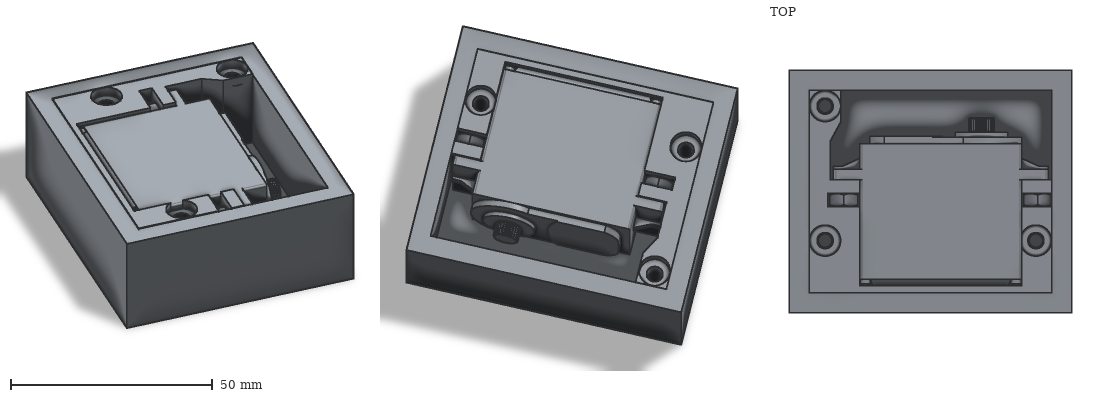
import cadquery as cq
import math

LENGTH = 70.1
WIDTH = 60.2
HOUSING_HEIGHT = 25.5
WALL = 5.0
FLOOR = 5.0
POCKET_HALF_X = LENGTH / 2 - WALL
POCKET_HALF_Y = WIDTH / 2 - WALL

SERVO_X = 2.5
CASE_LENGTH_X = 40.25
CASE_THICKNESS = 20.0
CASE_FRONT_Y = -23.4
CASE_BACK_Y = 11.8
CASE_ROUNDING = 0.55
CASE_HALF_X = CASE_LENGTH_X / 2
CASE_Y_SIZE = CASE_BACK_Y - CASE_FRONT_Y
SERVO_Z = FLOOR + CASE_THICKNESS / 2
CASE_TOP_Z = FLOOR + CASE_THICKNESS

END_SLOPE_LENGTH = 1.6
END_SLOPE_ANGLE = 30.0
END_SLOPE_DROP = END_SLOPE_LENGTH * math.tan(math.radians(END_SLOPE_ANGLE))

EAR_LENGTH_X = 53.3
EAR_THICKNESS = 2.5
EAR_FRONT_Y = 2.95
EAR_BACK_Y = EAR_FRONT_Y + EAR_THICKNESS

RIB_THICKNESS = 1.95
RIB_BACK_Y = EAR_BACK_Y + 0.8
RIB_ROOT_Y = 8.2
RIB_KNEE_X = 24.4

COVER_DISC_RADIUS = CASE_THICKNESS / 2
SHAFT_X = SERVO_X + CASE_HALF_X - COVER_DISC_RADIUS
COVER_DISC_HEIGHT = 1.7
COVER_PLATE_HEIGHT = 1.95
COVER_HALF_Z = 8.9
COVER_LEFT_X = -15.1
COVER_LEFT_RADIUS = 5.6
COVER_LEFT_CORNER_X = -11.5
COVER_RIGHT_X = 2.95
COVER_RIGHT_CORNER_X = 0.55
COLLAR_DIAMETER = 13.0
COLLAR_HEIGHT = 1.2
SPLINE_DIAMETER = 6.3
SPLINE_TOOTH_DEPTH = 0.3
SPLINE_TEETH = 25
SPLINE_LENGTH = 3.6
SPLINE_CHAMFER = 0.3
COLLAR_END_Y = CASE_BACK_Y + COVER_DISC_HEIGHT + COLLAR_HEIGHT

SCREW_HEAD_DIAMETER = 2.6
SCREW_RECESS_DIAMETER = 3.65
SCREW_INSET = 1.4
SCREW_CHAMFER = 0.55
SCREW_Z = CASE_TOP_Z - SCREW_INSET

MOUNT_TOP_Z = 25.7
BORE_X = 26.15
BORE_FRONT_Y = -12.2
BORE_BACK_Y = 21.2
COUNTERBORE_DIAMETER = 7.7
COUNTERBORE_DEPTH = 2.5
BORE_DIAMETER = 4.0
PILOT_DIAMETER = 3.35
PILOT_DEPTH = 2.8
PILOT_COUNTERSINK_ANGLE = 90.0
ARM_X = -22.2
ARM_NECK_X = -24.8
ARM_WIDE_Y = 17.3
ARM_NECK_Y = 12.55

NUT_SIDES = 6
NUT_SPACING = 48.1
NUT_RISE = 5.0
NUT_ACROSS_FLATS = 6.9
NUT_THICKNESS = 3.15
NUT_CHAMFER = 0.35
NUT_Y = -2.1
NUT_SLOT_LENGTH = 7.85
NUT_SLOT_WIDTH = 3.35
NUT_Z = SERVO_Z + NUT_RISE
NUT_CORNER_RADIUS = NUT_ACROSS_FLATS / 2 / math.cos(math.pi / NUT_SIDES)
NUT_BOTTOM_Z = NUT_Z - NUT_CORNER_RADIUS

SIDES = (-1, 1)
BORE_POINTS = [(-BORE_X, BORE_FRONT_Y), (BORE_X, BORE_FRONT_Y), (-BORE_X, BORE_BACK_Y)]


def block(x0, x1, y0, y1, z0, z1):
    """Box between two opposite corners."""
    return cq.Workplane("XY").box(x1 - x0, y1 - y0, z1 - z0, centered=False).translate((x0, y0, z0))


def facing_back(x, y, z):
    """Workplane across the Y axis whose extrusions run toward +Y; its local Y points to -Z."""
    return cq.Workplane(cq.Plane(origin=(x, y, z), xDir=(1, 0, 0), normal=(0, 1, 0)))


def make_housing():
    body = block(-LENGTH / 2, LENGTH / 2, -WIDTH / 2, WIDTH / 2, 0, HOUSING_HEIGHT)
    pocket = block(-POCKET_HALF_X, POCKET_HALF_X, -POCKET_HALF_Y, POCKET_HALF_Y, FLOOR, HOUSING_HEIGHT)
    return (
        body.cut(pocket)
        .copyWorkplane(cq.Workplane("XY", origin=(0, 0, FLOOR)))
        .pushPoints(BORE_POINTS)
        .cskHole(PILOT_DIAMETER, BORE_DIAMETER, PILOT_COUNTERSINK_ANGLE, PILOT_DEPTH)
    )


def make_mount():
    case_left = SERVO_X - CASE_HALF_X
    case_right = SERVO_X + CASE_HALF_X
    outline = [
        (-POCKET_HALF_X, -POCKET_HALF_Y),
        (POCKET_HALF_X, -POCKET_HALF_Y),
        (POCKET_HALF_X, EAR_FRONT_Y),
        (case_right, EAR_FRONT_Y),
        (case_right, CASE_FRONT_Y),
        (case_left, CASE_FRONT_Y),
        (case_left, EAR_FRONT_Y),
        (ARM_NECK_X, EAR_FRONT_Y),
        (ARM_NECK_X, ARM_NECK_Y),
        (ARM_X, ARM_WIDE_Y),
        (ARM_X, POCKET_HALF_Y),
        (-POCKET_HALF_X, POCKET_HALF_Y),
    ]
    base = cq.Workplane("XY", origin=(0, 0, FLOOR)).polyline(outline).close()
    mount = base.extrude(MOUNT_TOP_Z - FLOOR)
    mount = (
        mount.copyWorkplane(cq.Workplane("XY", origin=(0, 0, MOUNT_TOP_Z)))
        .pushPoints(BORE_POINTS)
        .cboreHole(BORE_DIAMETER, COUNTERBORE_DIAMETER, COUNTERBORE_DEPTH)
    )
    for side in SIDES:
        mount = mount.cut(make_nut_slot(side))
    return mount


def nut_x(side):
    return SERVO_X + side * NUT_SPACING / 2


def make_nut_slot(side):
    """Slot open to the top and to the servo, with its floor under the nut."""
    half_length = NUT_SLOT_LENGTH / 2
    half_width = NUT_SLOT_WIDTH / 2
    return block(
        nut_x(side) - half_length, nut_x(side) + half_length,
        NUT_Y - half_width, NUT_Y + half_width,
        NUT_BOTTOM_Z, MOUNT_TOP_Z,
    )


def make_nut(side):
    """Hexagonal nut along Y with one corner pointing up and the corners chamfered at both ends."""
    corners = []
    for i in range(NUT_SIDES):
        angle = 2 * math.pi * i / NUT_SIDES
        corners.append((NUT_CORNER_RADIUS * math.sin(angle), NUT_CORNER_RADIUS * math.cos(angle)))
    start = facing_back(nut_x(side), NUT_Y - NUT_THICKNESS / 2, NUT_Z)
    prism = start.polyline(corners).close().extrude(NUT_THICKNESS)
    face_radius = NUT_ACROSS_FLATS / 2
    half_thickness = NUT_THICKNESS / 2
    blank_profile = [
        (0, -half_thickness),
        (face_radius, -half_thickness),
        (NUT_CORNER_RADIUS, -half_thickness + NUT_CHAMFER),
        (NUT_CORNER_RADIUS, half_thickness - NUT_CHAMFER),
        (face_radius, half_thickness),
        (0, half_thickness),
    ]
    blank = cq.Workplane("XY", origin=(nut_x(side), NUT_Y, NUT_Z)).polyline(blank_profile).close()
    blank = blank.revolve(360, (0, 0, 0), (0, 1, 0))
    return prism.intersect(blank)


def screw_x(side):
    return SERVO_X + side * (CASE_HALF_X - SCREW_INSET)


def make_screw(side):
    """Round case screw head, chamfered and flush with the end of the case."""
    start = facing_back(screw_x(side), CASE_FRONT_Y, SCREW_Z)
    return start.circle(SCREW_HEAD_DIAMETER / 2).extrude(END_SLOPE_LENGTH).faces("<Y").chamfer(SCREW_CHAMFER)


def make_case_body():
    """Block with rounded long edges, sloped at the screw end above and below."""
    body = facing_back(SERVO_X, CASE_FRONT_Y, SERVO_Z).rect(CASE_LENGTH_X, CASE_THICKNESS)
    body = body.extrude(CASE_Y_SIZE).edges("|Y").fillet(CASE_ROUNDING)
    slope = (
        cq.Workplane("YZ", origin=(SERVO_X, CASE_FRONT_Y, CASE_TOP_Z))
        .polyline([(0, 0), (END_SLOPE_LENGTH, 0), (0, -END_SLOPE_DROP)])
        .close()
        .extrude(CASE_HALF_X, both=True)
    )
    return body.cut(slope).cut(slope.mirror("XY", (0, 0, SERVO_Z)))


def make_ears():
    ears = facing_back(SERVO_X, EAR_FRONT_Y, SERVO_Z).rect(EAR_LENGTH_X, CASE_THICKNESS)
    ears = ears.extrude(EAR_THICKNESS).edges("|Y").fillet(CASE_ROUNDING)
    rib_outline = [
        (-EAR_LENGTH_X / 2, EAR_FRONT_Y),
        (-EAR_LENGTH_X / 2, RIB_BACK_Y),
        (-RIB_KNEE_X, RIB_BACK_Y),
        (-CASE_HALF_X, RIB_ROOT_Y),
        (CASE_HALF_X, RIB_ROOT_Y),
        (RIB_KNEE_X, RIB_BACK_Y),
        (EAR_LENGTH_X / 2, RIB_BACK_Y),
        (EAR_LENGTH_X / 2, EAR_FRONT_Y),
    ]
    rib = cq.Workplane("XY", origin=(SERVO_X, 0, SERVO_Z)).polyline(rib_outline).close()
    return ears.union(rib.extrude(RIB_THICKNESS / 2, both=True))


def cover_plate(right_x, height, bowed_right):
    """Gear cover plate with a rounded left end and a bowed or straight right end."""
    arc_x = COVER_LEFT_X + COVER_LEFT_RADIUS
    corner_angle = math.acos((arc_x - COVER_LEFT_CORNER_X) / COVER_LEFT_RADIUS)
    arc_z = COVER_HALF_Z - COVER_LEFT_RADIUS * math.sin(corner_angle)
    middle_x = arc_x - COVER_LEFT_RADIUS * math.cos(corner_angle / 2)
    middle_z = arc_z + COVER_LEFT_RADIUS * math.sin(corner_angle / 2)
    plate = (
        facing_back(0, CASE_BACK_Y, SERVO_Z)
        .moveTo(COVER_LEFT_CORNER_X, COVER_HALF_Z)
        .threePointArc((middle_x, middle_z), (COVER_LEFT_X, arc_z))
        .lineTo(COVER_LEFT_X, -arc_z)
        .threePointArc((middle_x, -middle_z), (COVER_LEFT_CORNER_X, -COVER_HALF_Z))
        .lineTo(right_x, -COVER_HALF_Z)
    )
    if bowed_right:
        plate = plate.threePointArc((COVER_RIGHT_X, 0), (right_x, COVER_HALF_Z))
    else:
        plate = plate.lineTo(right_x, COVER_HALF_Z)
    return plate.close().extrude(height)


def make_gear_cover():
    """Raised plate, lower plate reaching the shaft, round disc and collar."""
    raised = cover_plate(COVER_RIGHT_CORNER_X, COVER_PLATE_HEIGHT, bowed_right=True)
    lower = cover_plate(SHAFT_X, COVER_DISC_HEIGHT, bowed_right=False)
    shaft_axis = facing_back(SHAFT_X, CASE_BACK_Y, SERVO_Z)
    disc = shaft_axis.circle(COVER_DISC_RADIUS).extrude(COVER_DISC_HEIGHT)
    collar = shaft_axis.circle(COLLAR_DIAMETER / 2).extrude(COVER_DISC_HEIGHT + COLLAR_HEIGHT)
    return raised.union(lower).union(disc).union(collar)


def make_servo_case():
    case = make_case_body().union(make_ears()).union(make_gear_cover())
    for side in SIDES:
        start = facing_back(screw_x(side), CASE_FRONT_Y, SCREW_Z)
        case = case.cut(start.circle(SCREW_RECESS_DIAMETER / 2).extrude(END_SLOPE_LENGTH))
    return case


def make_output_shaft():
    """Toothed shaft standing on the collar, chamfered at both ends."""
    tip_radius = SPLINE_DIAMETER / 2
    outline = []
    for i in range(2 * SPLINE_TEETH):
        radius = tip_radius - SPLINE_TOOTH_DEPTH * (i % 2)
        angle = math.pi * i / SPLINE_TEETH
        outline.append((radius * math.cos(angle), radius * math.sin(angle)))
    start = facing_back(SHAFT_X, COLLAR_END_Y, SERVO_Z)
    teeth = start.polyline(outline).close().extrude(SPLINE_LENGTH)
    blank = start.circle(tip_radius).extrude(SPLINE_LENGTH).faces("<Y or >Y").chamfer(SPLINE_CHAMFER)
    return teeth.intersect(blank)


housing = make_housing()
mount = make_mount()
servo_case = make_servo_case()
output_shaft = make_output_shaft()
nuts = [make_nut(side) for side in SIDES]
screws = [make_screw(side) for side in SIDES]

bodies = [housing, mount, servo_case, output_shaft, *nuts, *screws]
result = cq.Compound.makeCompound([solid for body in bodies for solid in body.solids().vals()])